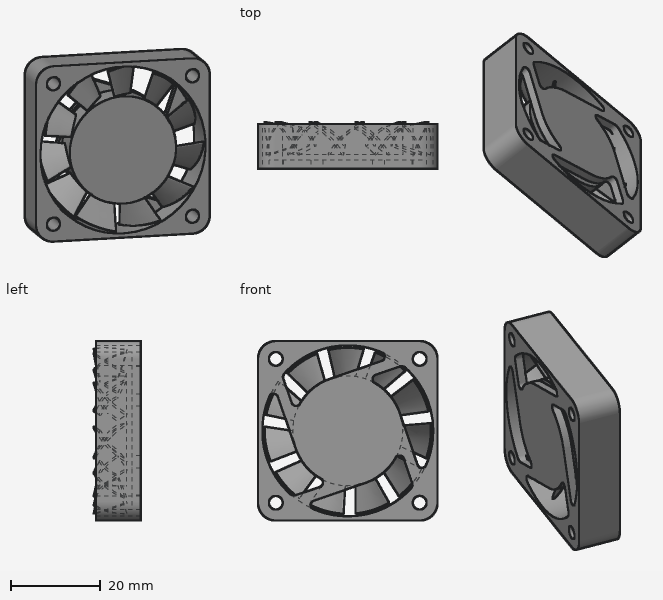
import cadquery as cq
import math

frame_side = 40.0
frame_depth = 10.0
corner_radius = 4.0
screw_hole_diameter = 3.0
screw_hole_spacing = 32.0
bore_diameter = 38.0

plate_thickness = 2.0
plate_diameter = 24.5
spoke_count = 4
spoke_width = 2.5
spoke_angle = 19.0
opening_fillet = 1.0
rim_fillet = 1.5

hub_diameter = plate_diameter
hub_front = 3.2
hub_back = 10.0

blade_count = 11
blade_thickness = 0.5
blade_nose_length = 0.4
rotor_diameter = 37.0
first_blade_angle = 88.1
blade_offset = 1.1
blade_camber = 30.0
root_distance = 11.2
root_width = 3.6
root_depth = 3.1
root_middle = 7.2
tip_distance = 18.8
tip_width = 7.65
tip_depth = 7.15
tip_middle = 6.7


def front_plane(y):
    """Plane facing -Y at the given y: local x is X and local y is Z."""
    return cq.Workplane("XZ", origin=(0, y, 0))


def disc(diameter, front, back):
    return front_plane(front).circle(diameter / 2).extrude(front - back)


def turned(body, degrees):
    """Body turned about the rotor axis, from +X towards +Z."""
    return body.rotate((0, 0, 0), (0, -1, 0), degrees)


def plate_opening():
    """Opening between two spokes, drawn with one spoke pointing along +X."""
    bore_radius = bore_diameter / 2
    plate_radius = plate_diameter / 2
    inner_side = plate_radius - spoke_width
    tangent_point = (0, plate_radius)
    spoke_end = (math.sqrt(bore_radius**2 - plate_radius**2), plate_radius)
    next_spoke_end = (-inner_side, math.sqrt(bore_radius**2 - inner_side**2))
    next_spoke_root = (-inner_side, math.sqrt(plate_radius**2 - inner_side**2))
    half_arc = math.asin(inner_side / plate_radius) / 2
    plate_arc_middle = (-plate_radius * math.sin(half_arc), plate_radius * math.cos(half_arc))
    outline = (
        front_plane(0)
        .moveTo(*tangent_point)
        .lineTo(*spoke_end)
        .threePointArc((0, bore_radius), next_spoke_end)
        .lineTo(*next_spoke_root)
        .threePointArc(plate_arc_middle, tangent_point)
        .close()
    )
    opening = outline.extrude(-plate_thickness)
    corner_fillets = [
        (spoke_end, opening_fillet),
        (next_spoke_end, rim_fillet),
        (next_spoke_root, opening_fillet),
    ]
    for (x, z), fillet_radius in corner_fillets:
        nearest = cq.selectors.NearestToPointSelector((x, plate_thickness / 2, z))
        opening = opening.edges("|Y").edges(nearest).fillet(fillet_radius)
    return opening


def make_plate():
    """Motor plate and spokes, filling the front of the bore."""
    plate = disc(bore_diameter, 0, plate_thickness)
    opening = plate_opening()
    for i in range(spoke_count):
        turn = spoke_angle + i * 360 / spoke_count
        plate = plate.cut(turned(opening, turn))
    return plate


def make_frame():
    frame = (
        front_plane(0)
        .rect(frame_side, frame_side)
        .extrude(-frame_depth)
        .edges("|Y")
        .fillet(corner_radius)
    )
    screw_holes = (
        front_plane(0)
        .rect(screw_hole_spacing, screw_hole_spacing, forConstruction=True)
        .vertices()
        .circle(screw_hole_diameter / 2)
        .extrude(-frame_depth)
    )
    frame = frame.cut(screw_holes)
    frame = frame.cut(disc(bore_diameter, 0, frame_depth))
    return frame.union(make_plate())


def smooth_nose(side, nose_tip, next_side):
    """Curve from the end of one side, round the nose tip, smoothly into the start of the next side."""
    points = [side.endPoint(), nose_tip, next_side.startPoint()]
    return cq.Edge.makeSpline(points, tangents=[side.tangentAt(1), next_side.tangentAt(0)])


def blade_section(distance, width, depth, middle):
    """Cambered strip with round ends, in the plane z = distance, running back towards +X."""
    half_turn = math.radians(blade_camber / 2)
    slope = math.atan2(depth, width)
    bend_radius = math.hypot(width, depth) / 2 / math.sin(half_turn)
    centre_distance = bend_radius * math.cos(half_turn)
    centre_x = -blade_offset + centre_distance * math.sin(slope)
    centre_y = middle - centre_distance * math.cos(slope)

    def point(bend, turn):
        """Point at a radius from the bend centre; the turn grows from the front to the back."""
        angle = slope + math.pi / 2 - turn
        return cq.Vector(centre_x + bend * math.cos(angle), centre_y + bend * math.sin(angle), distance)

    outside = bend_radius + blade_thickness / 2
    inside = bend_radius - blade_thickness / 2
    nose_turn = half_turn + blade_nose_length / bend_radius
    back_points = [point(outside, turn) for turn in (-half_turn, 0, half_turn)]
    front_points = [point(inside, turn) for turn in (half_turn, 0, -half_turn)]
    back_side = cq.Edge.makeThreePointArc(*back_points)
    front_side = cq.Edge.makeThreePointArc(*front_points)
    back_nose = smooth_nose(back_side, point(bend_radius, nose_turn), front_side)
    front_nose = smooth_nose(front_side, point(bend_radius, -nose_turn), back_side)
    return cq.Wire.assembleEdges([back_side, back_nose, front_side, front_nose])


def make_blade():
    root = blade_section(root_distance, root_width, root_depth, root_middle)
    tip = blade_section(tip_distance, tip_width, tip_depth, tip_middle)
    blade = cq.Workplane(cq.Solid.makeLoft([root, tip], True))
    return blade.intersect(disc(rotor_diameter, 0, 2 * frame_depth))


def make_rotor():
    rotor = disc(hub_diameter, hub_front, hub_back)
    blade = make_blade()
    for i in range(blade_count):
        turn = first_blade_angle - 90 + i * 360 / blade_count
        rotor = rotor.union(turned(blade, turn))
    return rotor


frame = make_frame()
rotor = make_rotor()
result = cq.Compound.makeCompound([frame.val(), rotor.val()])